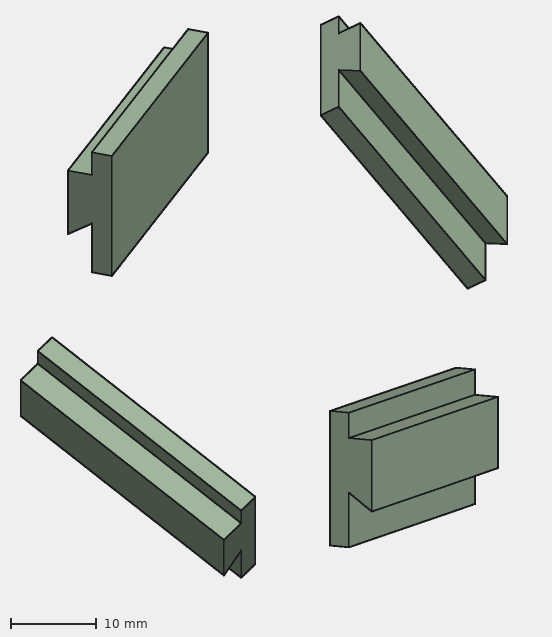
import cadquery as cq

length = 32.0
height = 16.0
total_depth = 5.5

rail_depth = 3.0
rail_top_inset = 3.0
rail_outer_height = 8.48
rail_root_height = 6.5

back_x = total_depth / 2
rail_face_x = -total_depth / 2
plate_face_x = rail_face_x + rail_depth
top_z = height / 2
bottom_z = -height / 2
rail_top_z = top_z - rail_top_inset

profile = [
    (back_x, bottom_z),
    (back_x, top_z),
    (plate_face_x, top_z),
    (plate_face_x, rail_top_z),
    (rail_face_x, rail_top_z),
    (rail_face_x, rail_top_z - rail_outer_height),
    (plate_face_x, rail_top_z - rail_root_height),
    (plate_face_x, bottom_z),
]

result = cq.Workplane("XZ").polyline(profile).close().extrude(length / 2, both=True)